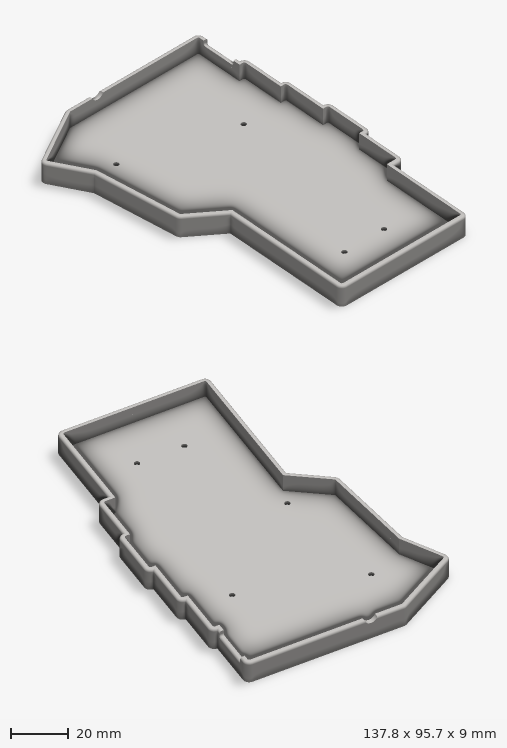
import cadquery as cq

total_height = 9.0
base_top = 1.7
middle_top = 5.5

board_clearance = 0.7
wall_thickness = 1.8
outer_offset = board_clearance + wall_thickness
rim_radius = 0.9

overall_length = 137.8
overall_width = 95.7
left_edge = outer_offset
right_edge = overall_length - outer_offset
front_edge = 31.0

step_rise = 2.3
step_level_3 = overall_width - outer_offset
step_level_2 = step_level_3 - step_rise
step_level_1 = step_level_2 - step_rise
back_edge = step_level_1 - step_rise
step_1_start, step_2_start, step_3_start = 23.4, 42.0, 61.0
step_3_end, step_2_end = 78.1, 97.3

left_corner = (left_edge, 26.3)
tip_corner = (16.3, outer_offset)
shallow_bend = (31.7, 11.5)
slant_corner = (69.0, 16.1)
front_bend = (79.8, front_edge)

board_outline = [
    left_corner,
    (left_edge, back_edge),
    (step_1_start, back_edge),
    (step_1_start, step_level_1),
    (step_2_start, step_level_1),
    (step_2_start, step_level_2),
    (step_3_start, step_level_2),
    (step_3_start, step_level_3),
    (step_3_end, step_level_3),
    (step_3_end, step_level_2),
    (step_2_end, step_level_2),
    (step_2_end, back_edge),
    (right_edge, back_edge),
    (right_edge, front_edge),
    front_bend,
    slant_corner,
    shallow_bend,
    tip_corner,
]

screw_hole_diameter = 2.2
screw_holes = [(41.2, 71.8), (27.4, 24.2), (117.0, 67.9), (117.0, 49.2), (73.7, 32.1)]

cable_notch_radius = 2.6
cable_notch_y = 39.3
cable_notch_axis_z = 9.8

port_left, port_right = 4.4, 19.5
port_floor = 6.7
port_corner_radius = 0.8

cut_margin = 1.4


def layer(offset, bottom, top):
    """Board outline grown by an offset and raised between two heights."""
    return (
        cq.Workplane("XY", origin=(0, 0, bottom))
        .polyline(board_outline)
        .close()
        .offset2D(offset, "arc")
        .extrude(top - bottom)
    )


def make_base():
    """Floor plate with the screw holes."""
    holes = (
        cq.Workplane("XY")
        .pushPoints(screw_holes)
        .circle(screw_hole_diameter / 2)
        .extrude(base_top)
    )
    return layer(outer_offset, 0, base_top).cut(holes)


def make_middle_frame():
    """Plain wall ring between the base and the top frame."""
    cavity = layer(board_clearance, base_top, middle_top)
    return layer(outer_offset, base_top, middle_top).cut(cavity)


def make_port_cutter():
    """Cutter that lowers the back wall but leaves its outer edge rounded like the rim."""
    wall_outside = back_edge + outer_offset
    cut_inside = back_edge + board_clearance - cut_margin
    cut_outside = wall_outside + cut_margin
    cut_top = total_height + cut_margin
    edge_bottom = port_floor - rim_radius
    cutter = (
        cq.Workplane("YZ", origin=(port_left, 0, 0))
        .moveTo(cut_inside, port_floor)
        .lineTo(wall_outside - rim_radius, port_floor)
        .radiusArc((wall_outside, edge_bottom), rim_radius)
        .lineTo(cut_outside, edge_bottom)
        .lineTo(cut_outside, cut_top)
        .lineTo(cut_inside, cut_top)
        .close()
        .extrude(port_right - port_left)
    )
    floor_region = cq.selectors.BoxSelector(
        (port_left - cut_margin, cut_inside - cut_margin, edge_bottom),
        (port_right + cut_margin, wall_outside, port_floor + cut_margin / 10),
    )
    return cutter.faces("<X or >X").edges(floor_region).fillet(port_corner_radius)


def make_cable_notch_cutter():
    """Cylinder along X that crosses the left wall."""
    return (
        cq.Workplane("YZ", origin=(-cut_margin, 0, 0))
        .center(cable_notch_y, cable_notch_axis_z)
        .circle(cable_notch_radius)
        .extrude(wall_thickness + 2 * cut_margin)
    )


def make_top_frame():
    """Wall ring with a rounded outer rim, the port opening and the cable notch."""
    frame = layer(outer_offset, middle_top, total_height)
    frame = frame.faces(">Z").edges().fillet(rim_radius)
    frame = frame.cut(layer(board_clearance, middle_top, total_height))
    frame = frame.cut(make_port_cutter())
    return frame.cut(make_cable_notch_cutter())


base = make_base()
middle_frame = make_middle_frame()
top_frame = make_top_frame()

result = cq.Compound.makeCompound([base.val(), middle_frame.val(), top_frame.val()])